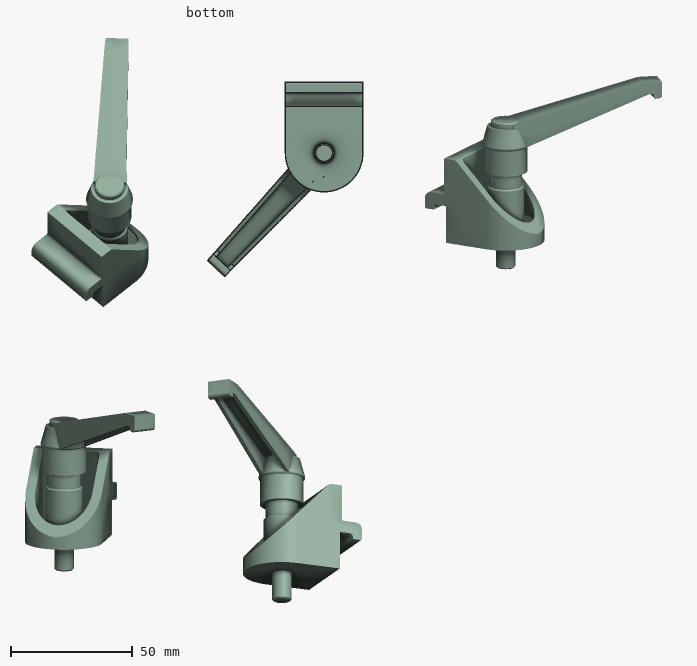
import cadquery as cq
import math


overall_length = 79.7

arm_angle = 133.1
arm_length = 64.9
arm_start = 1.9
arm_root_half_width = 6.7
arm_tip_half_width = 4.8
arm_top = 64.4
arm_bend = 56.9
arm_top_meets_button = 4.7
arm_bottom_start = 5.9
arm_tip_bottom = 57.5
arm_tip_radius = 1.35
lip_inner = 61.4
lip_inner_radius = 0.6
notch_start = 59.15
notch_top = 59.55
arm_wall = 1.75
arm_roof = 3.2
arm_direction = math.radians(arm_angle)
lever_corner_y = arm_length * math.sin(arm_direction) - arm_tip_half_width * math.cos(arm_direction)

block_half_width = 15.95
block_height = 35.9
block_front_lower = -19.05
block_front_upper = -20.0
slope_top_y = -14.5
slope_edge_radius = 2.0
slope_bottom_z = block_height - (block_half_width - slope_top_y)

hook_tip = lever_corner_y - overall_length
hook_top = 20.7
hook_underside = 15.7
hook_bottom = 13.4
hook_inner = -24.9
hook_outer_radius = 3.0
hook_inner_radius = 1.4
hook_root_radius = 0.8
hook_edge_radius = 0.8
hook_underside_radius = 0.5

pocket_radius = 11.95
pocket_front = -14.2
pocket_corner_radius = 1.6
pocket_floor = 8.0
hole_diameter = 8.5

screw_radius = 8.0 / 2
screw_bottom = -11.6
screw_chamfer = 0.55
foot_radius = 15.0 / 2
foot_top = 23.4
foot_chamfer = 0.5
neck_radius = 13.5 / 2
collar_radius = 18.0 / 2
collar_bottom = 29.6
collar_top = 40.35

hub_radius = 9.6
hub_rim_top = collar_top + 1.3
hub_top_radius = 7.6
hub_top = 48.95
button_radius = 6.05
button_top = 51.4
button_chamfer = 0.5


def make_block():
    profile = (
        cq.Workplane("YZ")
        .moveTo(block_half_width, 0)
        .lineTo(block_half_width, slope_bottom_z)
        .lineTo(slope_top_y, block_height)
        .lineTo(block_front_upper, block_height)
        .lineTo(block_front_upper, hook_top)
        .lineTo(hook_tip, hook_top)
        .lineTo(hook_tip, hook_bottom)
        .lineTo(hook_inner, hook_bottom)
        .lineTo(hook_inner, hook_underside)
        .lineTo(block_front_lower, hook_underside)
        .lineTo(block_front_lower, 0)
        .close()
        .extrude(block_half_width, both=True)
    )

    def round_edge(solid, y, z, radius):
        return solid.edges(cq.selectors.NearestToPointSelector((0, y, z))).fillet(radius)

    rounded_edges = [
        (block_half_width, slope_bottom_z, slope_edge_radius),
        (slope_top_y, block_height, slope_edge_radius),
        (block_front_upper, hook_top, hook_root_radius),
        (hook_tip, hook_top, hook_outer_radius),
        (hook_tip, hook_bottom, hook_edge_radius),
        (hook_inner, hook_underside, hook_inner_radius),
        (block_front_lower, hook_underside, hook_underside_radius),
    ]
    for y, z, radius in rounded_edges:
        profile = round_edge(profile, y, z, radius)

    footprint = (
        cq.Workplane("XY")
        .moveTo(-block_half_width, hook_tip)
        .lineTo(block_half_width, hook_tip)
        .lineTo(block_half_width, 0)
        .threePointArc((0, block_half_width), (-block_half_width, 0))
        .close()
        .extrude(block_height)
    )
    pocket = (
        cq.Workplane("XY", origin=(0, 0, pocket_floor))
        .moveTo(-pocket_radius, pocket_front)
        .lineTo(pocket_radius, pocket_front)
        .lineTo(pocket_radius, 0)
        .threePointArc((0, pocket_radius), (-pocket_radius, 0))
        .close()
        .extrude(block_height)
        .edges("|Z and <Y")
        .fillet(pocket_corner_radius)
    )
    hole = cq.Workplane("XY").circle(hole_diameter / 2).extrude(block_height)
    return profile.intersect(footprint).cut(pocket).cut(hole)


def make_stem():
    return (
        cq.Workplane("XZ")
        .moveTo(0, screw_bottom)
        .lineTo(screw_radius - screw_chamfer, screw_bottom)
        .lineTo(screw_radius, screw_bottom + screw_chamfer)
        .lineTo(screw_radius, pocket_floor)
        .lineTo(foot_radius, pocket_floor)
        .lineTo(foot_radius, foot_top - foot_chamfer)
        .lineTo(foot_radius - foot_chamfer, foot_top)
        .lineTo(neck_radius, foot_top)
        .lineTo(neck_radius, collar_bottom)
        .lineTo(collar_radius, collar_bottom)
        .lineTo(collar_radius, collar_top)
        .lineTo(0, collar_top)
        .close()
        .revolve(360, (0, 0), (0, 1))
    )


def make_hub():
    rim_middle = (hub_radius, (collar_top + hub_rim_top) / 2)
    return (
        cq.Workplane("XZ")
        .moveTo(0, collar_top)
        .lineTo(collar_radius, collar_top)
        .threePointArc(rim_middle, (hub_radius, hub_rim_top))
        .lineTo(hub_top_radius, hub_top)
        .lineTo(button_radius, hub_top)
        .lineTo(button_radius, button_top - button_chamfer)
        .lineTo(button_radius - button_chamfer, button_top)
        .lineTo(0, button_top)
        .close()
        .revolve(360, (0, 0), (0, 1))
    )


def tapered_plan(start, end, inset):
    """Tall wedge between the arm's sides, each side moved in by `inset`."""
    taper = (arm_root_half_width - arm_tip_half_width) / (arm_length - arm_start)
    start_half = arm_root_half_width - taper * (start - arm_start) - inset
    end_half = arm_root_half_width - taper * (end - arm_start) - inset
    return (
        cq.Workplane("XY")
        .polyline([(start, -start_half), (end, -end_half), (end, end_half), (start, start_half)])
        .close()
        .extrude(arm_top)
    )


def make_arm():
    top_slope = (arm_top - button_top) / (arm_bend - arm_top_meets_button)

    def top_at(x):
        return button_top + top_slope * (x - arm_top_meets_button)

    corner_offset = arm_tip_radius * (1 - math.sqrt(0.5))
    tip_corner_middle = (arm_length - corner_offset, arm_tip_bottom + corner_offset)
    outline = (
        cq.Workplane("XZ")
        .moveTo(arm_start, collar_top)
        .lineTo(arm_start, top_at(arm_start))
        .lineTo(arm_bend, arm_top)
        .lineTo(arm_length, arm_top)
        .lineTo(arm_length, arm_tip_bottom + arm_tip_radius)
        .threePointArc(tip_corner_middle, (arm_length - arm_tip_radius, arm_tip_bottom))
        .lineTo(lip_inner + lip_inner_radius, arm_tip_bottom)
        .radiusArc((lip_inner, arm_tip_bottom + lip_inner_radius), lip_inner_radius)
        .lineTo(lip_inner, notch_top - lip_inner_radius)
        .radiusArc((lip_inner - lip_inner_radius, notch_top), -lip_inner_radius)
        .lineTo(notch_start, notch_top)
        .lineTo(arm_bottom_start, collar_top)
        .close()
        .extrude(arm_length, both=True)
    )
    channel = (
        cq.Workplane("XZ")
        .moveTo(arm_start, 0)
        .lineTo(arm_start, top_at(arm_start) - arm_roof)
        .lineTo(lip_inner, top_at(lip_inner) - arm_roof)
        .lineTo(lip_inner, 0)
        .close()
        .extrude(arm_length, both=True)
        .intersect(tapered_plan(arm_start, lip_inner, arm_wall))
    )
    arm = outline.intersect(tapered_plan(arm_start, arm_length, 0)).cut(channel)
    return arm.rotate((0, 0, 0), (0, 0, 1), arm_angle)


block = make_block()
stem = make_stem()
lever = make_hub().union(make_arm())

result = cq.Compound.makeCompound([block.val(), stem.val(), lever.val()])